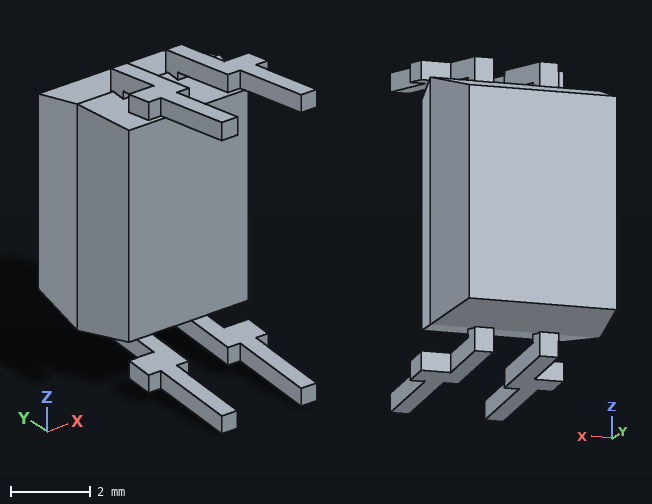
import cadquery as cq


parting_width = 4.58
parting_height = 6.4
front_width = 3.83
front_height = 5.98
front_depth = 1.65
back_width = 3.98
back_top = 2.62
back_bottom = -2.9
back_depth = 1.99

lead_pitch = 2.54
lead_thickness = 0.51
lead_back = 0.1
bend_height = 3.81
tip_height = 4.4
overall_depth = 6.95
tip_y = back_depth - overall_depth
paddle_width = 1.3
paddle_length = 0.81
embedded_length = 0.5


def frustum(parting_y, end_y, end_width, end_top, end_bottom):
    """Half body tapering from the parting rectangle to an end rectangle."""
    return (
        cq.Workplane("XZ", origin=(0, parting_y, 0))
        .rect(parting_width, parting_height)
        .workplane(offset=parting_y - end_y)
        .center(0, (end_top + end_bottom) / 2)
        .rect(end_width, end_top - end_bottom)
        .loft(ruled=True)
    )


def make_body():
    front = frustum(0, -front_depth, front_width, front_height / 2, -front_height / 2)
    back = frustum(0, back_depth, back_width, back_top, back_bottom)
    return front.union(back)


def lead_side_profile():
    """Bent strip seen along X: a stem rising out of the body and an arm splayed towards the tip."""
    splay = (tip_height - bend_height) / (lead_back - tip_y)
    stem_front = lead_back - lead_thickness
    stem_foot = parting_height / 2 - embedded_length
    inner_bend_height = bend_height + splay * lead_thickness - lead_thickness
    return (
        cq.Workplane("YZ", origin=(-parting_width / 2, 0, 0))
        .moveTo(lead_back, stem_foot)
        .lineTo(lead_back, bend_height)
        .lineTo(tip_y, tip_height)
        .lineTo(tip_y, tip_height - lead_thickness)
        .lineTo(stem_front, inner_bend_height)
        .lineTo(stem_front, stem_foot)
        .close()
        .extrude(parting_width)
    )


def lead_outline():
    """Right-hand lead seen along Z: neck flush with the paddle's inner edge, tip centred on the paddle."""
    tip_x = lead_pitch / 2
    paddle_inner = tip_x - paddle_width / 2
    paddle_outer = tip_x + paddle_width / 2
    neck_outer = paddle_inner + lead_thickness
    tip_inner = tip_x - lead_thickness / 2
    tip_outer = tip_x + lead_thickness / 2
    paddle_start = -front_depth
    paddle_end = paddle_start - paddle_length
    return (
        cq.Workplane("XY")
        .moveTo(paddle_inner, lead_back)
        .lineTo(neck_outer, lead_back)
        .lineTo(neck_outer, paddle_start)
        .lineTo(paddle_outer, paddle_start)
        .lineTo(paddle_outer, paddle_end)
        .lineTo(tip_outer, paddle_end)
        .lineTo(tip_outer, tip_y)
        .lineTo(tip_inner, tip_y)
        .lineTo(tip_inner, paddle_end)
        .lineTo(paddle_inner, paddle_end)
        .close()
        .extrude(tip_height)
    )


def make_leads():
    """One lead mirrored left to right and top to bottom."""
    lead = lead_side_profile().intersect(lead_outline())
    top_pair = lead.union(lead.mirror("YZ"))
    return top_pair.union(top_pair.mirror("XY"))


result = make_body().union(make_leads())